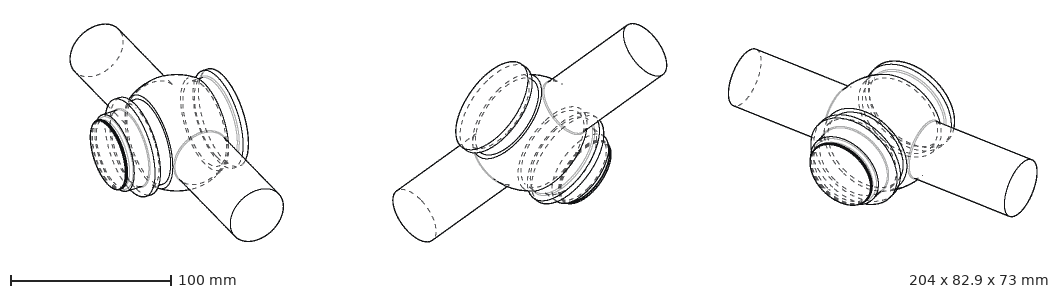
import cadquery as cq
import math

pipe_length = 204.0
pipe_diameter = 38.1
pipe_root_fillet = 1.0

ball_diameter = 73.0
ball_half_width = 20.0

neck_radius = 55.7 / 2
flange_radius = 63.8 / 2
flange_face = 33.5
flange_thickness = 3.9
flange_cone_angle = 15.0
neck_root_fillet = 1.0

spigot_radius = 50.2 / 2
spigot_length = 11.0
spigot_root_fillet = 0.6
groove_radius = 44.0 / 2
lip_radius = 45.5 / 2
tip_y = 49.4
lip_thickness = 1.5
lip_chamfer = 0.5
groove_root_fillet = 1.6


def revolve_about_y(outline):
    """Revolve a closed XY outline around the Y axis."""
    return outline.revolve(360, (0, 0, 0), (0, 1, 0))


def make_filleted_core():
    """Ball with the pipe through it, blended where they meet, then cut flat across Y."""
    ball = cq.Workplane("XY").sphere(ball_diameter / 2)
    pipe = cq.Workplane("YZ").circle(pipe_diameter / 2).extrude(pipe_length / 2, both=True)
    joints = ball.union(pipe).faces("%SPHERE").edges("%CIRCLE")
    core = joints.fillet(pipe_root_fillet)
    envelope = cq.Workplane("XY").box(pipe_length, 2 * ball_half_width, ball_diameter)
    return core.intersect(envelope)


def make_flanged_neck():
    """Neck on the +Y side, blending into the tapered back of the flange."""
    flange_back = flange_face - flange_thickness
    slope = math.radians(flange_cone_angle)
    cone_root = flange_back - (flange_radius - neck_radius) * math.tan(slope)

    turn = math.pi / 2 - slope
    setback = neck_root_fillet * math.tan(turn / 2)
    fillet_start = cone_root - setback
    fillet_end = (neck_radius + setback * math.cos(slope), cone_root + setback * math.sin(slope))
    return revolve_about_y(
        cq.Workplane("XY")
        .lineTo(neck_radius, 0)
        .lineTo(neck_radius, fillet_start)
        .tangentArcPoint(fillet_end, relative=False)
        .lineTo(flange_radius, flange_back)
        .lineTo(flange_radius, flange_face)
        .lineTo(0, flange_face)
        .close()
    )


def make_spigot():
    """Plug end with filleted roots and a groove behind a chamfered lip."""
    shoulder_y = flange_face + spigot_length
    lip_start = tip_y - lip_thickness
    return revolve_about_y(
        cq.Workplane("XY")
        .moveTo(0, -flange_face)
        .lineTo(spigot_radius + spigot_root_fillet, -flange_face)
        .radiusArc((spigot_radius, -(flange_face + spigot_root_fillet)), -spigot_root_fillet)
        .lineTo(spigot_radius, -shoulder_y)
        .lineTo(groove_radius + groove_root_fillet, -shoulder_y)
        .radiusArc((groove_radius, -(shoulder_y + groove_root_fillet)), -groove_root_fillet)
        .lineTo(groove_radius, -lip_start)
        .lineTo(lip_radius, -lip_start)
        .lineTo(lip_radius, -(tip_y - lip_chamfer))
        .lineTo(lip_radius - lip_chamfer, -tip_y)
        .lineTo(0, -tip_y)
        .close()
    )


neck = make_flanged_neck()
result = (
    make_filleted_core()
    .union(neck)
    .union(neck.mirror("XZ"))
    .union(make_spigot())
)